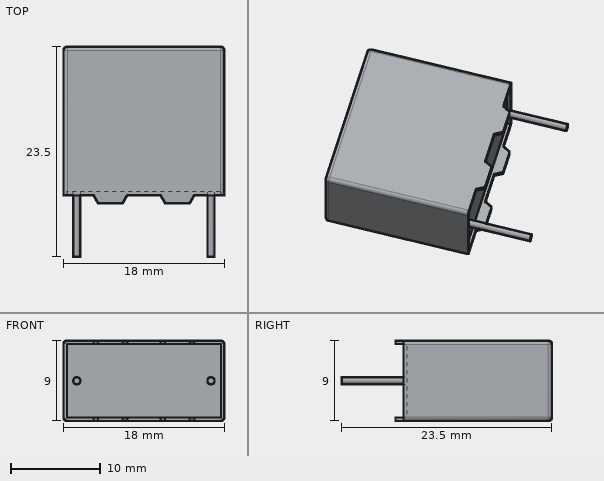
import cadquery as cq

case_width = 18.0
case_height = 9.0
overall_length = 23.5

pin_beyond_feet = 6.0
foot_length = 0.9
wall = 0.4
recess_depth = 0.4
edge_radius = 0.45

foot_base_width = 3.78
foot_tip_width = 2.75
foot_pitch = 7.5

pin_diameter = 0.8
pin_pitch = 15.0

foot_tip_y = pin_beyond_feet
rim_y = foot_tip_y + foot_length
floor_y = rim_y + recess_depth


def make_foot(center_x, bottom_z):
    """Tapered foot, one wall thick, that extends the rim towards -Y."""
    return (
        cq.Workplane("XY", origin=(center_x, 0, bottom_z))
        .moveTo(-foot_base_width / 2, rim_y)
        .lineTo(-foot_tip_width / 2, foot_tip_y)
        .lineTo(foot_tip_width / 2, foot_tip_y)
        .lineTo(foot_base_width / 2, rim_y)
        .close()
        .extrude(wall)
    )


def make_case():
    """Block with rounded edges, a shallow recess in its -Y end and four feet."""
    block = (
        cq.Workplane("XY")
        .box(case_width, overall_length - rim_y, case_height, centered=(True, False, True))
        .translate((0, rim_y, 0))
        .edges("|Y or >Y")
        .fillet(edge_radius)
    )
    recess = (
        cq.Workplane("XY")
        .box(case_width - 2 * wall, recess_depth, case_height - 2 * wall, centered=(True, False, True))
        .translate((0, rim_y, 0))
    )
    case = block.cut(recess)
    for center_x in (-foot_pitch / 2, foot_pitch / 2):
        for bottom_z in (-case_height / 2, case_height / 2 - wall):
            case = case.union(make_foot(center_x, bottom_z))
    return case


def make_pin(center_x):
    """Straight round lead from the recess floor to the -Y end of the part."""
    return (
        cq.Workplane("XZ", origin=(center_x, floor_y, 0))
        .circle(pin_diameter / 2)
        .extrude(floor_y)
    )


case = make_case()
pins = [make_pin(center_x) for center_x in (-pin_pitch / 2, pin_pitch / 2)]

result = cq.Compound.makeCompound([case.val(), *[pin.val() for pin in pins]])